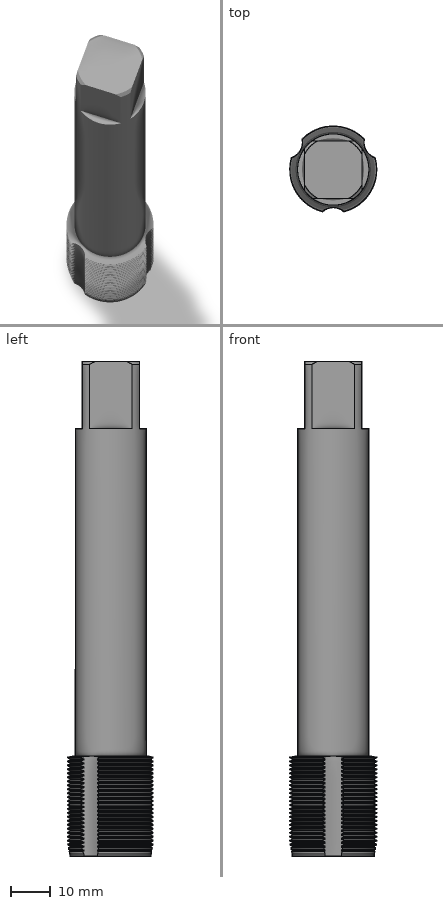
import cadquery as cq
import math

total_length = 125.0
shank_radius = 9.0

square_width = 14.5
square_length = 17.0
end_chamfer = 0.8

crest_radius = 11.0
thread_depth = 0.6
root_radius = crest_radius - thread_depth
pitch = 1.0
crest_flat = pitch / 8
root_flat = pitch / 4
ring_count = 25
top_crest_z = ring_count * pitch

shoulder_radius = 9.4
shoulder_rise = 0.4
head_length = top_crest_z + shoulder_rise

lead_start_z = 0.5
lead_end_z = 3.5

flute_count = 3
flute_radius = 4.0
flute_floor_radius = 9.6
first_flute_angle = -90.0


def revolve_about_z(profile):
    """Solid of revolution from a closed outline of (radius, z) points."""
    return cq.Workplane("XZ").polyline(profile).close().revolve(360, (0, 0), (0, 1))


def make_shank():
    """Round shank whose top end is milled to a square drive."""
    shank = (
        cq.Workplane("XY", origin=(0, 0, head_length))
        .circle(shank_radius)
        .extrude(total_length - head_length)
        .faces(">Z")
        .edges()
        .chamfer(end_chamfer)
    )
    drive_flats = (
        cq.Workplane("XY", origin=(0, 0, total_length - square_length))
        .circle(2 * shank_radius)
        .rect(square_width, square_width)
        .extrude(square_length)
    )
    return shank.cut(drive_flats)


def make_thread_blank():
    """Head before fluting: a stack of trapezoidal rings under a conical shoulder."""
    profile = [(0, 0), (root_radius, 0)]
    for ring in range(1, ring_count + 1):
        crest_z = ring * pitch
        root_z = crest_z - pitch / 2
        profile.append((root_radius, root_z + root_flat / 2))
        profile.append((crest_radius, crest_z - crest_flat / 2))
        profile.append((crest_radius, crest_z + crest_flat / 2))
        if ring < ring_count:
            profile.append((root_radius, root_z + pitch - root_flat / 2))
    profile += [(shoulder_radius, head_length), (0, head_length)]
    return revolve_about_z(profile)


def make_lead_envelope():
    """Largest outline the head may fill, narrowing to the root radius at the tip."""
    return revolve_about_z(
        [
            (0, 0),
            (root_radius, 0),
            (root_radius, lead_start_z),
            (crest_radius, lead_end_z),
            (crest_radius, head_length),
            (0, head_length),
        ]
    )


def make_flute(index):
    """Cutter for one round-bottomed flute over the full head length."""
    angle = math.radians(first_flute_angle + index * 360 / flute_count)
    center_radius = flute_floor_radius + flute_radius
    return (
        cq.Workplane("XY")
        .center(center_radius * math.cos(angle), center_radius * math.sin(angle))
        .circle(flute_radius)
        .extrude(head_length)
    )


def make_head():
    """Threaded cutting head with its tapered lead and flutes."""
    head = make_thread_blank().intersect(make_lead_envelope())
    for index in range(flute_count):
        head = head.cut(make_flute(index))
    return head


shank = make_shank()
head = make_head()
result = cq.Compound.makeCompound([shank.val(), head.val()])